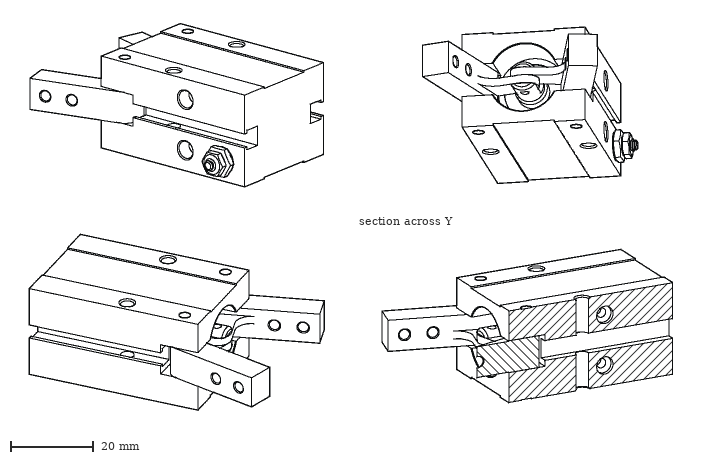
import cadquery as cq
import math


OVERALL_LENGTH = 63.4
OVERALL_WIDTH = 43.0

BODY_LENGTH = 44.6
BODY_WIDTH = 30.25
BODY_HEIGHT = 23.5
RELIEF_WIDTH = 15.1
RELIEF_DEPTH = 0.4

JAW_HEIGHT = 8.0
JAW_POCKET_DEPTH = 9.8
BORE_RADIUS = 8.5
BORE_DEPTH = 12.0
BORE_CHAMFER = 0.2
BORE_STEP_RADIUS = 7.05
BORE_STEP_DEPTH = 0.5

SLOT_MOUTH_HEIGHT = 3.55
SLOT_INNER_HEIGHT = 4.95
SLOT_LIP = 1.0
SLOT_DEPTH = 5.0

MOUNT_HOLE_X = 20.05
MOUNT_HOLE_RADIUS = 1.65
MOUNT_HOLE_CHAMFER = 0.4
PIVOT_RECESS_RADIUS = 1.4
PIVOT_RECESS_DEPTH = 0.1
PORT_X = 26.1
PORT_Z = 6.45
PORT_RADIUS = 2.15
PORT_CHAMFER = 0.3
PORT_DEPTH = 4.0
PORT_TIP_RADIUS = 1.2
PORT_TIP_DEPTH = 2.55

SCREW_X = 37.6
SEAL_RADIUS = 3.5
BIG_NUT_FLATS = 7.0
BIG_NUT_START = 0.2
BIG_NUT_END = 1.95
SMALL_NUT_FLATS = 5.6
SMALL_NUT_START = 2.15
SMALL_NUT_END = 4.0
NUT_CHAMFER = 0.25
NUT_FACE_INSET = 0.3
NUT_NECK_RADIUS = 2.4
SCREW_COLLAR_RADIUS = 1.6
SCREW_COLLAR_END = 4.45
SCREW_NECK_RADIUS = 0.95
SCREW_TIP_RADIUS = 1.2
SCREW_TIP_START = 4.9
SCREW_TIP_END = 5.45
SCREW_TIP_CHAMFER = 0.3

OPEN_ANGLE = 15.0
FINGER_WIDTH = 7.0
FINGER_REACH = 23.6
FINGER_HOLE_POSITIONS = (12.5, 19.5)
FINGER_HOLE_RADIUS = 1.25
FINGER_HOLE_CHAMFER = 0.25
ARM_THICKNESS = JAW_HEIGHT / 4
ARM_FILLET = 4.0

ROD_HEAD_RADIUS = 3.55
ROD_RADIUS = 4.0
ROD_FRONT_X = -1.4
ROD_FRONT_CHAMFER = 0.65
ROD_CONE_LENGTH = 1.0
ROD_SHOULDER_X = 9.4
ROD_END_X = 20.05
FORK_DEPTH_X = 7.0
FORK_HOLE_RADIUS = 1.0

SIN_OPEN = math.sin(math.radians(OPEN_ANGLE))
COS_OPEN = math.cos(math.radians(OPEN_ANGLE))
HALF_FINGER = FINGER_WIDTH / 2
TIP_X = BODY_LENGTH - OVERALL_LENGTH
PIVOT_X = TIP_X + FINGER_REACH * COS_OPEN + HALF_FINGER * SIN_OPEN
PIVOT_Y = OVERALL_WIDTH / 2 - FINGER_REACH * SIN_OPEN - HALF_FINGER * COS_OPEN
ARM_REACH = PIVOT_Y / COS_OPEN
ARM_TIP_X = PIVOT_X - ARM_REACH * SIN_OPEN

SIDE_Y = BODY_WIDTH / 2
TOP_Z = BODY_HEIGHT / 2


def block(x_range, y_range, z_range):
    """Box between the given limits."""
    x0, x1 = x_range
    y0, y1 = y_range
    z0, z1 = z_range
    return cq.Workplane("XY").box(x1 - x0, y1 - y0, z1 - z0, centered=False).translate((x0, y0, z0))


def turned_along_x(profile):
    """Solid of revolution about the X axis from (x, radius) points."""
    return cq.Workplane("XY").polyline(profile).close().revolve(360, (0, 0, 0), (1, 0, 0))


def turned_along_y(profile):
    """Solid of revolution about the Y axis from (radius, y) points."""
    return cq.Workplane("XY").polyline(profile).close().revolve(360, (0, 0, 0), (0, 1, 0))


def chamfered_hole(radius, chamfer, length):
    """Cutter along Z, centred at the origin, for a hole with both ends chamfered."""
    half = length / 2
    profile = [
        (0, -half),
        (radius + chamfer, -half),
        (radius, -half + chamfer),
        (radius, half - chamfer),
        (radius + chamfer, half),
        (0, half),
    ]
    return cq.Workplane("XZ").polyline(profile).close().revolve(360, (0, 0, 0), (0, 1, 0))


def front_cavity():
    """Stepped round bore, crossed by the pocket in which the fingers swing."""
    mouth_radius = BORE_RADIUS + BORE_CHAMFER
    step_end = BORE_DEPTH + BORE_STEP_DEPTH
    bore = turned_along_x([
        (0, 0),
        (0, mouth_radius),
        (BORE_CHAMFER, BORE_RADIUS),
        (BORE_DEPTH, BORE_RADIUS),
        (BORE_DEPTH, BORE_STEP_RADIUS),
        (step_end, BORE_STEP_RADIUS),
        (step_end, ROD_RADIUS),
        (ROD_END_X, ROD_RADIUS),
        (ROD_END_X, 0),
    ])
    half_height = JAW_HEIGHT / 2
    pocket = block((0, JAW_POCKET_DEPTH), (-SIDE_Y, SIDE_Y), (-half_height, half_height))
    return bore.union(pocket)


def sensor_slot():
    """T-shaped slot along the -Y side."""
    half_mouth = SLOT_MOUTH_HEIGHT / 2
    half_inner = SLOT_INNER_HEIGHT / 2
    lip_y = -SIDE_Y + SLOT_LIP
    mouth = block((0, BODY_LENGTH), (-SIDE_Y, lip_y), (-half_mouth, half_mouth))
    inside = block((0, BODY_LENGTH), (lip_y, -SIDE_Y + SLOT_DEPTH), (-half_inner, half_inner))
    return mouth.union(inside)


def air_port():
    """Blind port cutter that enters at y = 0 and runs toward +Y."""
    cone_end = PORT_DEPTH + PORT_RADIUS - PORT_TIP_RADIUS
    hole_end = cone_end + PORT_TIP_DEPTH
    return turned_along_y([
        (0, 0),
        (PORT_RADIUS + PORT_CHAMFER, 0),
        (PORT_RADIUS, PORT_CHAMFER),
        (PORT_RADIUS, PORT_DEPTH),
        (PORT_TIP_RADIUS, cone_end),
        (PORT_TIP_RADIUS, hole_end),
        (0, hole_end),
    ])


def nut(flats, start, end):
    """Hexagon nut that runs toward -Y, with the corners of both faces chamfered."""
    corners = flats / math.cos(math.pi / 6)
    prism = cq.Workplane("XZ").polygon(6, corners).extrude(end - start).translate((0, -start, 0))
    face_radius = flats / 2 - NUT_FACE_INSET
    rim_radius = corners / 2
    rounding = turned_along_y([
        (0, -start),
        (face_radius, -start),
        (rim_radius, -start - NUT_CHAMFER),
        (rim_radius, -end + NUT_CHAMFER),
        (face_radius, -end),
        (0, -end),
    ])
    return prism.intersect(rounding)


def throttle_screw():
    """Seal, two nuts and adjusting screw, standing on the plane y = 0."""
    stem = turned_along_y([
        (0, 0),
        (SEAL_RADIUS, 0),
        (SEAL_RADIUS, -BIG_NUT_START),
        (NUT_NECK_RADIUS, -BIG_NUT_START),
        (NUT_NECK_RADIUS, -SMALL_NUT_START),
        (SCREW_TIP_RADIUS, -SMALL_NUT_END),
        (SCREW_COLLAR_RADIUS, -SCREW_COLLAR_END),
        (SCREW_NECK_RADIUS, -SCREW_COLLAR_END),
        (SCREW_NECK_RADIUS, -SCREW_TIP_START),
        (SCREW_TIP_RADIUS, -SCREW_TIP_START),
        (SCREW_TIP_RADIUS, -SCREW_TIP_END + SCREW_TIP_CHAMFER),
        (SCREW_TIP_RADIUS - SCREW_TIP_CHAMFER, -SCREW_TIP_END),
        (0, -SCREW_TIP_END),
    ])
    big_nut = nut(BIG_NUT_FLATS, BIG_NUT_START, BIG_NUT_END)
    small_nut = nut(SMALL_NUT_FLATS, SMALL_NUT_START, SMALL_NUT_END)
    return stem.union(big_nut).union(small_nut)


def make_housing():
    """Block with cavity, slots and holes; the throttle screw belongs to it."""
    housing = block((0, BODY_LENGTH), (-SIDE_Y, SIDE_Y), (-TOP_Z, TOP_Z))

    half_relief = RELIEF_WIDTH / 2
    relief = block((0, BODY_LENGTH), (-half_relief, half_relief), (TOP_Z - RELIEF_DEPTH, TOP_Z))
    housing = housing.cut(relief).cut(relief.mirror("XY"))

    housing = housing.cut(front_cavity())
    slot = sensor_slot()
    housing = housing.cut(slot).cut(slot.mirror("XZ"))

    mount_hole = chamfered_hole(MOUNT_HOLE_RADIUS, MOUNT_HOLE_CHAMFER, BODY_HEIGHT)
    recess = cq.Workplane("XY").circle(PIVOT_RECESS_RADIUS).extrude(PIVOT_RECESS_DEPTH)
    for y in (-PIVOT_Y, PIVOT_Y):
        housing = housing.cut(mount_hole.translate((MOUNT_HOLE_X, y, 0)))
        housing = housing.cut(recess.translate((PIVOT_X, y, TOP_Z - PIVOT_RECESS_DEPTH)))
        housing = housing.cut(recess.translate((PIVOT_X, y, -TOP_Z)))

    for z in (-PORT_Z, PORT_Z):
        housing = housing.cut(air_port().translate((PORT_X, -SIDE_Y, z)))

    return housing.union(throttle_screw().translate((SCREW_X, -SIDE_Y, -PORT_Z)))


def make_finger():
    """The +Y finger with its lower arm.

    It is built closed, with its pivot at the origin, the tip toward -X and the arm toward -Y,
    and then swung open about the pivot.
    """
    half_height = JAW_HEIGHT / 2
    heel_mid = HALF_FINGER * math.sqrt(0.5)
    jaw = (
        cq.Workplane("XY", origin=(0, 0, -half_height))
        .moveTo(HALF_FINGER, -HALF_FINGER)
        .lineTo(HALF_FINGER, 0)
        .threePointArc((heel_mid, heel_mid), (0, HALF_FINGER))
        .lineTo(-FINGER_REACH, HALF_FINGER)
        .lineTo(-FINGER_REACH, -HALF_FINGER)
        .close()
        .extrude(JAW_HEIGHT)
    )

    fillet_mid = ARM_FILLET * (1 - math.sqrt(0.5))
    arm = (
        cq.Workplane("XY", origin=(0, 0, -ARM_THICKNESS))
        .moveTo(HALF_FINGER, -HALF_FINGER)
        .lineTo(HALF_FINGER, -ARM_REACH)
        .threePointArc((0, -ARM_REACH - HALF_FINGER), (-HALF_FINGER, -ARM_REACH))
        .lineTo(-HALF_FINGER, -HALF_FINGER - ARM_FILLET)
        .threePointArc(
            (-HALF_FINGER - fillet_mid, -HALF_FINGER - fillet_mid),
            (-HALF_FINGER - ARM_FILLET, -HALF_FINGER),
        )
        .close()
        .extrude(ARM_THICKNESS)
    )

    finger = jaw.union(arm)
    hole = chamfered_hole(FINGER_HOLE_RADIUS, FINGER_HOLE_CHAMFER, FINGER_WIDTH)
    hole = hole.rotate((0, 0, 0), (1, 0, 0), 90)
    for distance in FINGER_HOLE_POSITIONS:
        finger = finger.cut(hole.translate((-distance, 0, 0)))
    return finger.rotate((0, 0, 0), (0, 0, 1), -OPEN_ANGLE).translate((PIVOT_X, PIVOT_Y, 0))


def make_rod():
    """Piston rod whose forked head holds the ends of both arms."""
    rod = turned_along_x([
        (ROD_FRONT_X, 0),
        (ROD_FRONT_X, ROD_HEAD_RADIUS - ROD_FRONT_CHAMFER),
        (ROD_FRONT_X + ROD_FRONT_CHAMFER, ROD_HEAD_RADIUS),
        (ROD_SHOULDER_X - ROD_CONE_LENGTH, ROD_HEAD_RADIUS),
        (ROD_SHOULDER_X, ROD_RADIUS),
        (ROD_END_X, ROD_RADIUS),
        (ROD_END_X, 0),
    ])
    fork_gap = block(
        (ROD_FRONT_X, FORK_DEPTH_X),
        (-ROD_RADIUS, ROD_RADIUS),
        (-ARM_THICKNESS, ARM_THICKNESS),
    )
    cross_hole = cq.Workplane("XY").circle(FORK_HOLE_RADIUS).extrude(ROD_RADIUS, both=True)
    return rod.cut(fork_gap).cut(cross_hole.translate((ARM_TIP_X, 0, 0)))


housing = make_housing()
rod = make_rod()
fingers = [make_finger().rotate((0, 0, 0), (1, 0, 0), turn) for turn in (0, 180)]

result = cq.Compound.makeCompound([
    housing.solids().val(),
    rod.solids().val(),
    *[finger.solids().val() for finger in fingers],
])